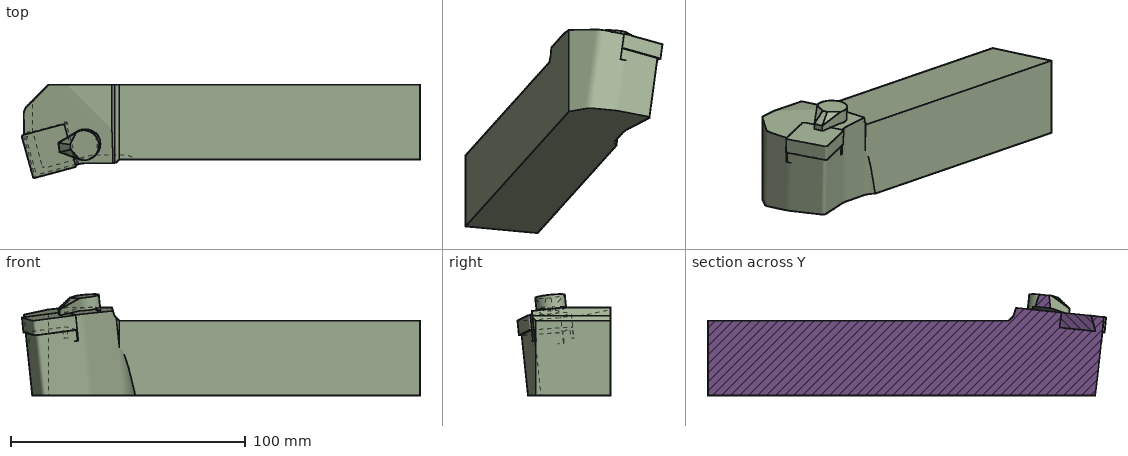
import cadquery as cq
import math


shank_size = 32.0
shank_end_x = 170.0

nose = (5.1, -8.0, 31.9)
rake_slope = math.tan(math.radians(6.0))

insert_angle = 15.0
insert_side = 19.05
insert_thickness = 6.35
insert_corner = 0.8
shim_thickness = 4.76
seat_inset = 0.8
seat_corner = 1.5

head_top_z = 37.6
head_top_back_x = 38.6
shoulder_x = 41.75
shoulder_chamfer = 2.0
block_front_x = -10.0
block_front_y = -12.0

left_face_x = -3.83
front_face_y = 6.43
bevel_start_y = 29.5
bevel_corner_radius = 4.5
seat_blend_radius = 8.0
runout_start_x = 34.6
runout_radius = 7.5
trim_reach = 200.0

clamp_center = (22.56, 14.88)
clamp_radius = 6.4
clamp_height = 6.68
clamp_angle = 7.0
clamp_half_taper = 24.0
clamp_nose_reach = 11.3
clamp_nose_height = 2.4
clamp_top_reach = 5.9
clamp_top_half_width = 1.1

bridge_height = 1.2
bridge_nose_end = -10.6
bridge_flat_start = -3.5
bridge_heel_end = 4.8

seat_frame = cq.Location(
    cq.Plane(origin=nose, xDir=(1, 0, rake_slope), normal=(-rake_slope, -rake_slope, 1))
)


def placed(body):
    """Moves a body from the seat frame (nose at the origin, rake plane at Z = 0) into place."""
    return cq.Workplane(body.val().moved(seat_frame))


def square_plate(inset, corner, top, thickness):
    """Rounded plate turned to the insert angle, inset from the two cutting sides."""
    side = insert_side - inset
    middle = inset + side / 2
    return (
        cq.Workplane("XY", origin=(0, 0, top - thickness))
        .center(middle, middle)
        .rect(side, side)
        .extrude(thickness)
        .edges("|Z")
        .fillet(corner)
        .rotate((0, 0, 0), (0, 0, 1), insert_angle)
    )


def head_trim():
    """Prism square to the rake plane that trims the stock to the head's outline."""
    turn = math.radians(insert_angle)
    seat_x = seat_inset * (math.cos(turn) - math.sin(turn))
    seat_y = seat_inset * (math.cos(turn) + math.sin(turn))
    left_join = (left_face_x, seat_y + (seat_x - left_face_x) / math.tan(turn))
    front_join = (seat_x + (front_face_y - seat_y) / math.tan(turn), front_face_y)
    bevel_start = (left_face_x, bevel_start_y)
    bevel_run = trim_reach - bevel_start_y
    arc_middle = (
        runout_start_x + runout_radius * math.sin(math.pi / 4),
        front_face_y - runout_radius * (1 - math.cos(math.pi / 4)),
    )
    arc_end = (runout_start_x + runout_radius, front_face_y - runout_radius)
    prism = (
        cq.Workplane("XY")
        .moveTo(seat_x, seat_y)
        .lineTo(*front_join)
        .lineTo(runout_start_x, front_face_y)
        .threePointArc(arc_middle, arc_end)
        .lineTo(arc_end[0], -trim_reach)
        .lineTo(trim_reach, -trim_reach)
        .lineTo(trim_reach, trim_reach)
        .lineTo(left_face_x + bevel_run, trim_reach)
        .lineTo(*bevel_start)
        .lineTo(*left_join)
        .close()
        .extrude(-trim_reach)
    )
    rounded_corners = [
        ((seat_x, seat_y), seat_corner),
        (front_join, seat_blend_radius),
        (left_join, seat_blend_radius),
        (bevel_start, bevel_corner_radius),
    ]
    for corner, radius in rounded_corners:
        nearest = cq.NearestToPointSelector((*corner, -trim_reach / 2))
        prism = prism.edges("|Z").edges(nearest).fillet(radius)
    return placed(prism)


def head_block():
    """Block wider and taller than the shank, chamfered down to it at the shoulder."""
    chamfer_x = shoulder_x - shoulder_chamfer
    side = (
        cq.Workplane("XZ", origin=(0, shank_size, 0))
        .moveTo(block_front_x, 0)
        .lineTo(shoulder_x, 0)
        .lineTo(shoulder_x, shank_size)
        .lineTo(chamfer_x, shank_size + shoulder_chamfer)
        .lineTo(head_top_back_x, head_top_z)
        .lineTo(block_front_x, head_top_z)
        .close()
        .extrude(shank_size - block_front_y)
    )
    plan = (
        cq.Workplane("XY")
        .moveTo(block_front_x, shank_size)
        .lineTo(shoulder_x, shank_size)
        .lineTo(shoulder_x, 0)
        .lineTo(chamfer_x, -shoulder_chamfer)
        .lineTo(chamfer_x, block_front_y)
        .lineTo(block_front_x, block_front_y)
        .close()
        .extrude(head_top_z)
    )
    return side.intersect(plan)


def slice_off(body, edge_start, edge_end, low_point):
    """Removes what lies above the plane through three points."""
    start = cq.Vector(*edge_start)
    along = cq.Vector(*edge_end) - start
    normal = along.cross(cq.Vector(*low_point) - start)
    if normal.z < 0:
        normal = normal * -1
    waste_size = 10 * clamp_radius
    waste = cq.Workplane(cq.Plane(start, along, normal)).rect(waste_size, waste_size).extrude(waste_size)
    return body.cut(waste)


def clamp_bridge():
    """Hollow under the clamp between its nose tip and its heel."""
    hollow = [
        (bridge_nose_end, 0),
        (bridge_flat_start, bridge_height),
        (bridge_heel_end, bridge_height),
        (bridge_heel_end, 0),
    ]
    return cq.Workplane("XZ").polyline(hollow).close().extrude(2 * clamp_radius, both=True)


def clamp():
    """Round clamp with a tapered nose that points at the insert and slopes down in three facets."""
    taper = math.radians(clamp_half_taper)
    tangent_x = -clamp_radius * math.sin(taper)
    tangent_y = clamp_radius * math.cos(taper)
    half_nose = tangent_y - (clamp_nose_reach + tangent_x) * math.tan(taper)
    nose_outline = [
        (tangent_x, tangent_y),
        (-clamp_nose_reach, half_nose),
        (-clamp_nose_reach, -half_nose),
        (tangent_x, -tangent_y),
    ]
    body = cq.Workplane("XY").circle(clamp_radius).extrude(clamp_height)
    body = body.union(cq.Workplane("XY").polyline(nose_outline).close().extrude(clamp_height))

    top_left = (-clamp_top_reach, clamp_top_half_width, clamp_height)
    top_right = (-clamp_top_reach, -clamp_top_half_width, clamp_height)
    nose_left = (-clamp_nose_reach, half_nose, clamp_nose_height)
    nose_right = (-clamp_nose_reach, -half_nose, clamp_nose_height)
    body = slice_off(body, top_left, top_right, nose_left)
    body = slice_off(body, top_left, (tangent_x, tangent_y, clamp_height), nose_left)
    body = slice_off(body, top_right, (tangent_x, -tangent_y, clamp_height), nose_right)
    body = body.cut(clamp_bridge())
    body = body.rotate((0, 0, 0), (0, 0, 1), clamp_angle).translate((*clamp_center, 0))
    return placed(body)


insert = placed(square_plate(0, insert_corner, 0, insert_thickness))

shank_length = shank_end_x - head_top_back_x
shank = cq.Workplane("XY", origin=(head_top_back_x, 0, 0)).box(
    shank_length, shank_size, shank_size, centered=False
)
pocket = placed(square_plate(0, insert_corner, 0, insert_thickness + shim_thickness))
shim = placed(square_plate(seat_inset, seat_corner, -insert_thickness, shim_thickness))
holder = shank.union(head_block()).intersect(head_trim()).cut(pocket)
holder = holder.union(shim, clean=False).union(clamp(), clean=False)

result = cq.Compound.makeCompound([holder.val(), insert.val()])